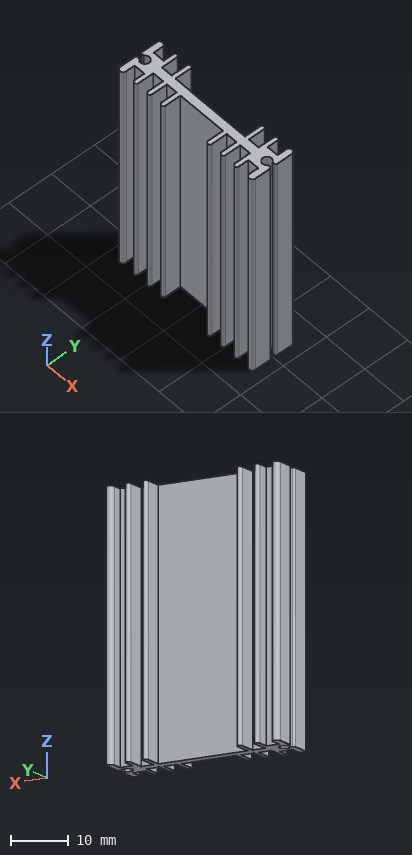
import cadquery as cq

width = 35.0
depth = 10.0
length = 50.0

web_thickness = 2.0
block_thickness = 4.5

outer_fin_width = 1.5
fin_width = 1.0
fin_gap = 2.5
front_inner_fins = 3
back_inner_fins = 2

channel_diameter = 2.0
channel_inset = 1.7
slot_width = 1.0
lip_radius = 0.4

fin_pitch = fin_width + fin_gap
block_width = outer_fin_width + fin_gap + fin_width


def bar(x_size, y_size, x_center=0.0, y_center=0.0):
    """Rectangular bar running the full length of the extrusion."""
    return cq.Workplane("XY").center(x_center, y_center).rect(x_size, y_size).extrude(length)


def fin(side, facing, inset, thickness):
    """Round-tipped fin from the mid-plane; its outer face lies inset from the side."""
    center = side * (width / 2 - inset - thickness / 2)
    radius = thickness / 2
    shoulder = facing * (depth / 2 - radius)
    return (
        cq.Workplane("XY")
        .moveTo(center - radius, facing * web_thickness / 2)
        .lineTo(center - radius, shoulder)
        .threePointArc((center, facing * depth / 2), (center + radius, shoulder))
        .lineTo(center + radius, facing * web_thickness / 2)
        .close()
        .extrude(length)
    )


def screw_channel(side):
    """Round channel with a narrow side slot whose mouth flares out over rounded lips."""
    face = side * width / 2
    center = side * (width / 2 - channel_inset)
    bore = cq.Workplane("XY").center(center, 0).circle(channel_diameter / 2).extrude(length)
    slot = bar(channel_inset, slot_width, (face + center) / 2)
    mouth = bar(lip_radius, slot_width + 2 * lip_radius, face - side * lip_radius / 2)
    for facing in (-1, 1):
        lip = (
            cq.Workplane("XY")
            .center(face - side * lip_radius, facing * (slot_width / 2 + lip_radius))
            .circle(lip_radius)
            .extrude(length)
        )
        mouth = mouth.cut(lip)
    return bore.union(slot).union(mouth)


result = bar(width - outer_fin_width, web_thickness)

for side in (-1, 1):
    block_center = side * (width - block_width) / 2
    result = result.union(bar(block_width, block_thickness, block_center))
    for facing, inner_fins in ((-1, front_inner_fins), (1, back_inner_fins)):
        result = result.union(fin(side, facing, 0.0, outer_fin_width))
        for index in range(inner_fins):
            inset = outer_fin_width + fin_gap + index * fin_pitch
            result = result.union(fin(side, facing, inset, fin_width))

for side in (-1, 1):
    result = result.cut(screw_channel(side))